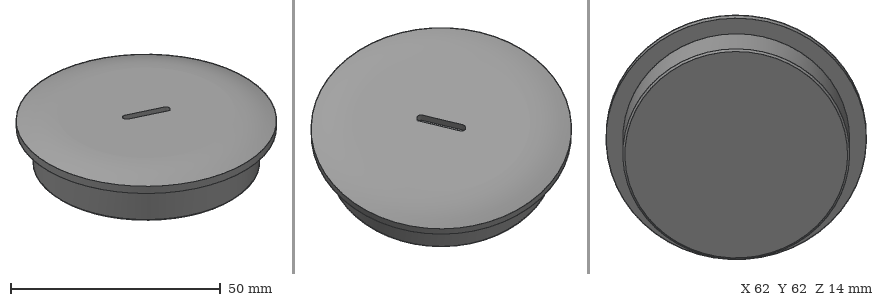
import cadquery as cq

flange_diameter = 62.0
total_height = 14.0

rim_height = 2.0
dome_height = 2.0
flat_top_diameter = 42.4

body_diameter = 54.0
bottom_chamfer = 0.5

slot_length = 12.0
slot_width = 2.0
slot_depth = 2.0

flange_radius = flange_diameter / 2
flat_top_radius = flat_top_diameter / 2
body_height = total_height - rim_height - dome_height
rim_top = body_height + rim_height

dome_run = flange_radius - flat_top_radius
dome_radius = (dome_run**2 + dome_height**2) / (2 * dome_height)


def make_body():
    """Cylindrical plug with a chamfered bottom edge."""
    body = cq.Workplane("XY").circle(body_diameter / 2).extrude(body_height)
    return body.faces("<Z").edges().chamfer(bottom_chamfer)


def make_flange():
    """Revolved flange with a straight rim and a domed shoulder."""
    return (
        cq.Workplane("XZ")
        .moveTo(0, body_height)
        .lineTo(flange_radius, body_height)
        .lineTo(flange_radius, rim_top)
        .radiusArc((flat_top_radius, total_height), -dome_radius)
        .lineTo(0, total_height)
        .close()
        .revolve(360, (0, 0, 0), (0, 1, 0))
    )


def make_slot():
    """Round-ended cutter reaching down from the top face."""
    return (
        cq.Workplane("XY")
        .workplane(offset=total_height - slot_depth)
        .slot2D(slot_length, slot_width, 90)
        .extrude(slot_depth)
    )


result = make_body().union(make_flange()).cut(make_slot())